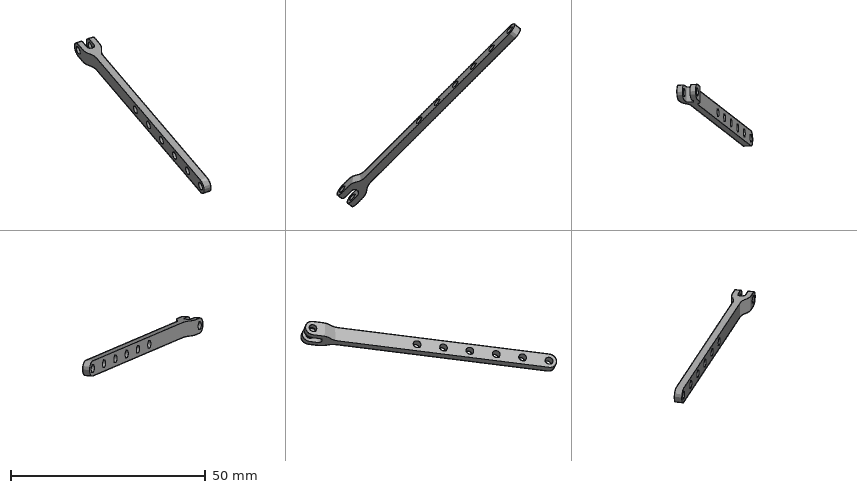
import cadquery as cq
import math

height = 4.0
end_radius = height / 2
bar_thickness = 2.0
fork_width = 5.0
slot_width = 2.0
slot_depth = 5.0
hole_diameter = 2.0
hole_pitch = 7.0
bar_hole_count = 6
last_hole_x = 63.0

neck_start_x = 2.46
neck_radius = 4.0

fork_end_x = -end_radius
bar_end_x = last_hole_x + end_radius


def neck_arcs():
    """Return points along the +Y neck: middle of arc, junction, middle of arc, end."""
    drop = (fork_width - bar_thickness) / 2
    sweep = math.acos(1 - drop / (2 * neck_radius))
    end_x = neck_start_x + 2 * neck_radius * math.sin(sweep)

    def on_outer(angle):
        return (neck_start_x + neck_radius * math.sin(angle),
                fork_width / 2 - neck_radius * (1 - math.cos(angle)))

    def on_inner(angle):
        return (end_x - neck_radius * math.sin(angle),
                bar_thickness / 2 + neck_radius * (1 - math.cos(angle)))

    return on_outer(sweep / 2), on_outer(sweep), on_inner(sweep / 2), on_inner(0)


def mirrored(point):
    return (point[0], -point[1])


def plan_body():
    """Outline seen along Z, extruded to the full height."""
    outer_mid, junction, inner_mid, neck_end = neck_arcs()
    return (
        cq.Workplane("XY")
        .workplane(offset=-height / 2)
        .moveTo(fork_end_x, fork_width / 2)
        .lineTo(neck_start_x, fork_width / 2)
        .threePointArc(outer_mid, junction)
        .threePointArc(inner_mid, neck_end)
        .lineTo(bar_end_x, bar_thickness / 2)
        .lineTo(bar_end_x, -bar_thickness / 2)
        .lineTo(*mirrored(neck_end))
        .threePointArc(mirrored(inner_mid), mirrored(junction))
        .threePointArc(mirrored(outer_mid), (neck_start_x, -fork_width / 2))
        .lineTo(fork_end_x, -fork_width / 2)
        .close()
        .extrude(height)
    )


def rounded_side():
    """Side profile with full-round ends, used to trim the body."""
    return (
        cq.Workplane("XZ")
        .center((fork_end_x + bar_end_x) / 2, 0)
        .slot2D(bar_end_x - fork_end_x, height)
        .extrude(fork_width / 2, both=True)
    )


def fork_slot():
    """Slot between the fork legs, with a full-round bottom."""
    slot_radius = slot_width / 2
    bottom_x = fork_end_x + slot_depth
    return (
        cq.Workplane("XY")
        .workplane(offset=-height / 2)
        .moveTo(fork_end_x, slot_radius)
        .lineTo(bottom_x - slot_radius, slot_radius)
        .threePointArc((bottom_x, 0), (bottom_x - slot_radius, -slot_radius))
        .lineTo(fork_end_x, -slot_radius)
        .close()
        .extrude(height)
    )


def cross_holes():
    """Clevis pin hole and the row of bar holes, all running along Y."""
    bar_hole_xs = [last_hole_x - i * hole_pitch for i in range(bar_hole_count)]
    return (
        cq.Workplane("XZ")
        .pushPoints([(x, 0) for x in [0.0] + bar_hole_xs])
        .circle(hole_diameter / 2)
        .extrude(fork_width / 2, both=True)
    )


result = plan_body().intersect(rounded_side()).cut(fork_slot()).cut(cross_holes())